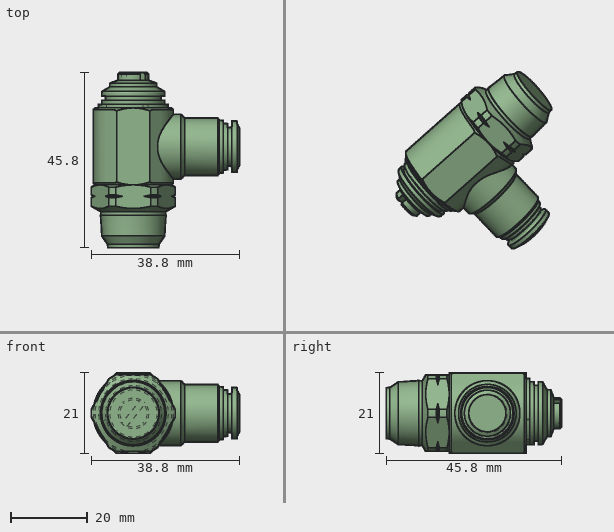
import cadquery as cq
import math


thread_top = 8.5
nut_bottom = 9.45
nut_top = 16.45
body_length = 20.1
body_top = nut_top + body_length
flange_top = body_top + 0.95
knob_base = 43.8
total_length = 45.81

pilot_length = 1.0
pilot_tip_radius = 6.65
pilot_radius = 6.78
lead_in_end = 3.2
thread_small_radius = 8.25
thread_taper_break = 6.1
thread_break_radius = 8.4
thread_large_radius = 8.58
collar_radius = 8.5

nut_across_flats = 20.0
nut_corner_radius = 11.0
nut_bevel_angle = 30.0
nut_groove_y = 13.48
nut_groove_width = 0.76
nut_groove_root_radius = 10.4

body_radius = 10.5
body_flat_half = body_radius * math.tan(math.radians(22.5))
body_corner_radius = math.hypot(body_radius, body_flat_half)
body_chamfer = 0.5
body_flat_bevel = 0.75

flange_radius = 9.1
cap_radius = 8.25
cap_groove_radius = 7.3
cap_groove_bottom = 38.6
cap_groove_top = 39.65
cap_rim_break_start = 40.5
cap_rim_break_end = 40.85
cap_rim_break_radius = 8.15
shoulder_radius = 6.15
shoulder_bottom = 42.05
shoulder_top = 43.0
knob_radius = 4.0
knob_chamfer = 0.45
slot_width = 1.6
slot_angle = 51.0

gap_outer_start = 189.0
gap_outer_end = 295.0
gap_inner_start = 194.0
gap_inner_end = 290.0

inlet_y = 26.42
inlet_collar_radius = 8.5
inlet_collar_end = 12.45
inlet_barrel_radius = 7.53
inlet_barrel_start = 13.4
inlet_barrel_end = 22.0
inlet_ring_start = 22.5
inlet_ring_end = 23.52
inlet_ring_radius = 6.98
inlet_ring_end_radius = 6.85
sleeve_start_radius = 6.15
sleeve_end_radius = 6.05
sleeve_end = 24.63
neck_radius = 5.05
neck_end = 25.25
neck_flare_radius = 0.52
release_radius = 6.73
release_taper_start = 26.75
release_rim_end = 27.1
release_rim_end_radius = 6.7
release_bevel_radius = 6.0
release_tip_radius = 4.85
inlet_end = 27.79


def section_plane(y):
    """Plane across the main axis at height y; local x is +X and local y is +Z."""
    return cq.Plane(origin=(0, y, 0), xDir=(1, 0, 0), normal=(0, -1, 0))


def prism(outline_of, y_low, y_high):
    """Extrude the outline drawn by outline_of from y_low to y_high."""
    return outline_of(cq.Workplane(section_plane(y_high))).extrude(y_high - y_low)


def turned(points):
    """Revolve (radius, y) points about the main axis; the profile closes on the axis."""
    outline = [(0, points[0][1])] + points + [(0, points[-1][1])]
    return cq.Workplane("XY").polyline(outline).close().revolve(360, (0, 0, 0), (0, 1, 0))


def polar(radius, angle):
    """Point at the given radius and angle in degrees from the first axis."""
    return (radius * math.cos(math.radians(angle)), radius * math.sin(math.radians(angle)))


def make_stud():
    """Tapered thread envelope with a lead-in cone and a pilot at the free end."""
    return turned([
        (pilot_tip_radius, 0),
        (pilot_radius, pilot_length),
        (thread_small_radius, lead_in_end),
        (thread_break_radius, thread_taper_break),
        (thread_large_radius, thread_top),
        (collar_radius, thread_top),
        (collar_radius, nut_bottom),
    ])


def make_nut():
    """Hexagon bevelled at both ends, with a V groove across its rounded corners."""
    hex_diameter = nut_across_flats / math.cos(math.radians(30))
    hexagon = prism(lambda wp: wp.polygon(6, hex_diameter), nut_bottom, nut_top)

    bevel_slope = math.tan(math.radians(nut_bevel_angle))
    top_bevel_radius = nut_across_flats / 2
    top_bevel = (nut_corner_radius - top_bevel_radius) * bevel_slope
    bottom_bevel = (nut_corner_radius - collar_radius) * bevel_slope
    envelope = turned([
        (collar_radius, nut_bottom),
        (nut_corner_radius, nut_bottom + bottom_bevel),
        (nut_corner_radius, nut_groove_y - nut_groove_width / 2),
        (nut_groove_root_radius, nut_groove_y),
        (nut_corner_radius, nut_groove_y + nut_groove_width / 2),
        (nut_corner_radius, nut_top - top_bevel),
        (top_bevel_radius, nut_top),
    ])
    return hexagon.intersect(envelope)


def body_outline(wp):
    """Round body with a flat above and below, each joined to the round by 45 degree faces."""
    tangent = body_radius * math.cos(math.radians(45))
    return (
        wp.moveTo(tangent, tangent)
        .lineTo(body_flat_half, body_radius)
        .lineTo(-body_flat_half, body_radius)
        .lineTo(-tangent, tangent)
        .threePointArc((-body_radius, 0), (-tangent, -tangent))
        .lineTo(-body_flat_half, -body_radius)
        .lineTo(body_flat_half, -body_radius)
        .lineTo(tangent, -tangent)
        .threePointArc((body_radius, 0), (tangent, tangent))
        .close()
    )


def make_body():
    """Main body, chamfered at both ends all round except along the two flats."""
    body = prism(body_outline, nut_top, body_top)
    end_edges = cq.selectors.StringSyntaxSelector("#Y")
    top_flat_edges = cq.selectors.StringSyntaxSelector(">Z")
    bottom_flat_edges = cq.selectors.StringSyntaxSelector("<Z")
    body = body.edges(end_edges - top_flat_edges - bottom_flat_edges).chamfer(body_chamfer)

    envelope = turned([
        (body_radius, nut_top),
        (body_corner_radius, nut_top + body_flat_bevel),
        (body_corner_radius, body_top - body_flat_bevel),
        (body_radius, body_top),
    ])
    return body.intersect(envelope)


def make_cap():
    """Flange, grooved cap, conical shoulders and adjusting knob."""
    return turned([
        (flange_radius, body_top),
        (flange_radius, flange_top),
        (cap_radius, flange_top),
        (cap_radius, cap_groove_bottom),
        (cap_groove_radius, cap_groove_bottom),
        (cap_groove_radius, cap_groove_top),
        (cap_radius, cap_groove_top),
        (cap_radius, cap_rim_break_start),
        (cap_rim_break_radius, cap_rim_break_end),
        (shoulder_radius, shoulder_bottom),
        (shoulder_radius, shoulder_top),
        (knob_radius, knob_base),
        (knob_radius, total_length - knob_chamfer),
        (knob_radius - knob_chamfer, total_length),
    ])


def make_knob_slot():
    """Screwdriver slot across the full depth of the knob."""
    depth = total_length - knob_base
    slot_length = 3 * knob_radius
    return (
        cq.Workplane(section_plane(total_length))
        .transformed(rotate=(0, 0, slot_angle))
        .rect(slot_length, slot_width)
        .extrude(depth)
    )


def make_flange_gap():
    """Sector missing from the flange, down to the cap groove radius."""
    inner_start = polar(cap_groove_radius, gap_inner_start)
    inner_middle = polar(cap_groove_radius, (gap_inner_start + gap_inner_end) / 2)
    inner_end = polar(cap_groove_radius, gap_inner_end)
    outer_start = polar(flange_radius, gap_outer_start)
    outer_middle = polar(flange_radius, (gap_outer_start + gap_outer_end) / 2)
    outer_end = polar(flange_radius, gap_outer_end)

    def gap_outline(wp):
        return (
            wp.moveTo(*inner_start)
            .threePointArc(inner_middle, inner_end)
            .lineTo(*outer_end)
            .threePointArc(outer_middle, outer_start)
            .close()
        )

    return prism(gap_outline, body_top, flange_top)


def make_inlet():
    """Stepped inlet about its own X axis, drawn as (x, radius) and moved up to inlet_y."""
    flare_end = neck_end + neck_flare_radius
    flare_middle = polar(neck_flare_radius, -45)
    return (
        cq.Workplane("XY")
        .moveTo(0, 0)
        .lineTo(0, inlet_collar_radius)
        .lineTo(inlet_collar_end, inlet_collar_radius)
        .lineTo(inlet_barrel_start, inlet_barrel_radius)
        .lineTo(inlet_barrel_end, inlet_barrel_radius)
        .lineTo(inlet_ring_start, inlet_ring_radius)
        .lineTo(inlet_ring_end, inlet_ring_end_radius)
        .lineTo(inlet_ring_end, sleeve_start_radius)
        .lineTo(sleeve_end, sleeve_end_radius)
        .lineTo(sleeve_end, neck_radius)
        .lineTo(neck_end, neck_radius)
        .threePointArc(
            (neck_end + flare_middle[0], neck_radius + neck_flare_radius + flare_middle[1]),
            (flare_end, neck_radius + neck_flare_radius),
        )
        .lineTo(flare_end, release_radius)
        .lineTo(release_taper_start, release_radius)
        .lineTo(release_rim_end, release_rim_end_radius)
        .lineTo(release_rim_end, release_bevel_radius)
        .lineTo(inlet_end, release_tip_radius)
        .lineTo(inlet_end, 0)
        .close()
        .revolve(360, (0, 0, 0), (1, 0, 0))
        .translate((0, inlet_y, 0))
    )


cap = make_cap().cut(make_knob_slot()).cut(make_flange_gap())
result = make_body().union(make_inlet()).union(make_nut()).union(make_stud()).union(cap)